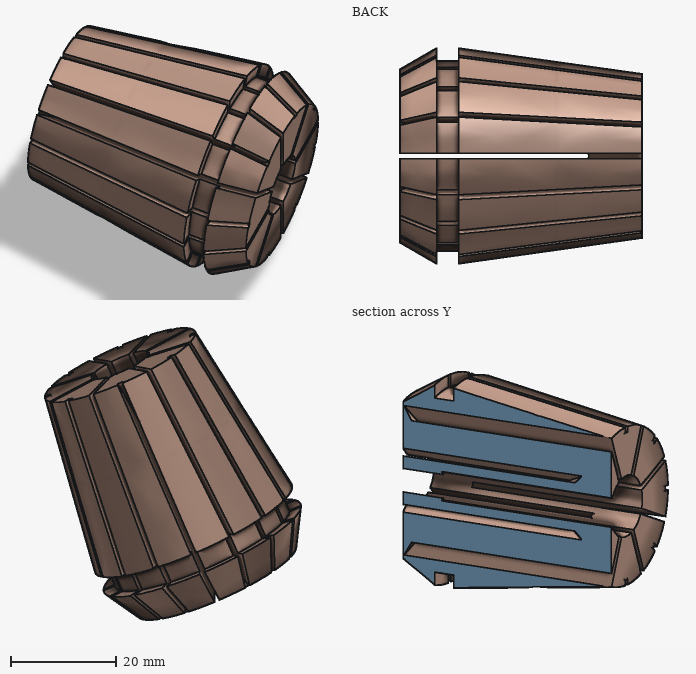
import cadquery as cq
import math

total_length = 46.0
largest_diameter = 41.0
bore_radius = 6.0
taper_angle = 8.0
nose_angle = 30.0

groove_start = 34.85
groove_end = 39.0
groove_radius = 18.1

slots_per_end = 8
slot_width = 1.0
blade_radius = 40.0
blade_overrun = 0.9
small_end_web = 10.15
nose_end_web = 8.85
small_end_floor_radius = 14.55
nose_end_floor_radius = 16.05

largest_radius = largest_diameter / 2
small_end_radius = largest_radius - groove_start * math.tan(math.radians(taper_angle))
nose_length = total_length - groove_end
nose_end_radius = largest_radius - nose_length * math.tan(math.radians(nose_angle))
slot_pitch = 360.0 / slots_per_end


def make_body():
    """Revolve the double cone with its groove and through bore."""
    half_section = (
        cq.Workplane("XY")
        .moveTo(0, bore_radius)
        .lineTo(0, small_end_radius)
        .lineTo(groove_start, largest_radius)
        .lineTo(groove_start, groove_radius)
        .lineTo(groove_end, groove_radius)
        .lineTo(groove_end, largest_radius)
        .lineTo(total_length, nose_end_radius)
        .lineTo(total_length, bore_radius)
        .close()
    )
    return half_section.revolve(360, (0, 0, 0), (1, 0, 0))


def make_saw_cut(closed_end_x, open_direction, web, floor_radius):
    """Space swept by a disc blade in the XZ plane, entering from the open end.

    The blade rim crosses the closed end face at floor_radius and reaches
    the bore at a depth of web from that face. open_direction is the sign
    of X that leads from the closed end to the open end.
    """
    rise = floor_radius - bore_radius
    chord = math.hypot(web, rise)
    center_to_chord = math.sqrt(blade_radius**2 - (chord / 2) ** 2)
    center_depth = web / 2 + center_to_chord * rise / chord
    center_x = closed_end_x + open_direction * center_depth
    center_z = (floor_radius + bore_radius) / 2 + center_to_chord * web / chord

    open_x = closed_end_x + open_direction * (total_length + blade_overrun)
    arc_middle_offset = blade_radius * math.sqrt(0.5)
    return (
        cq.Workplane("XZ")
        .moveTo(open_x, center_z - blade_radius)
        .lineTo(center_x, center_z - blade_radius)
        .threePointArc(
            (center_x - open_direction * arc_middle_offset, center_z - arc_middle_offset),
            (center_x - open_direction * blade_radius, center_z),
        )
        .lineTo(open_x, center_z)
        .close()
        .extrude(slot_width / 2, both=True)
    )


def cut_slots(body, saw_cut, first_angle):
    """Repeat one saw cut evenly around the axis."""
    for index in range(slots_per_end):
        angle = first_angle + index * slot_pitch
        body = body.cut(saw_cut.rotate((0, 0, 0), (1, 0, 0), angle))
    return body


nose_end_cut = make_saw_cut(0, 1, small_end_web, small_end_floor_radius)
small_end_cut = make_saw_cut(total_length, -1, nose_end_web, nose_end_floor_radius)

result = make_body()
result = cut_slots(result, nose_end_cut, 0)
result = cut_slots(result, small_end_cut, slot_pitch / 2)